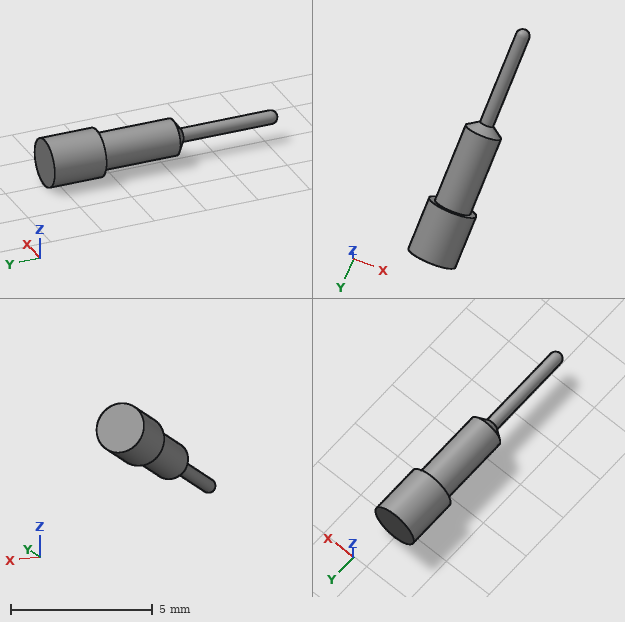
import cadquery as cq

total_length = 8.96
head_diameter = 1.8
head_length = 2.0
body_diameter = 1.35
body_length = 2.95
cone_length = 0.305
pin_diameter = 0.5

head_radius = head_diameter / 2
body_radius = body_diameter / 2
pin_radius = pin_diameter / 2

head_end = total_length
head_shoulder = head_end - head_length
cone_start = head_shoulder - body_length
cone_end = cone_start - cone_length
tip_start = pin_radius
tip_arc_offset = pin_radius * 0.5 ** 0.5

half_profile = (
    cq.Workplane("XY")
    .moveTo(0, 0)
    .threePointArc((tip_arc_offset, tip_start - tip_arc_offset), (pin_radius, tip_start))
    .lineTo(pin_radius, cone_end)
    .lineTo(body_radius, cone_start)
    .lineTo(body_radius, head_shoulder)
    .lineTo(head_radius, head_shoulder)
    .lineTo(head_radius, head_end)
    .lineTo(0, head_end)
    .close()
)

result = half_profile.revolve(360, (0, 0, 0), (0, 1, 0))